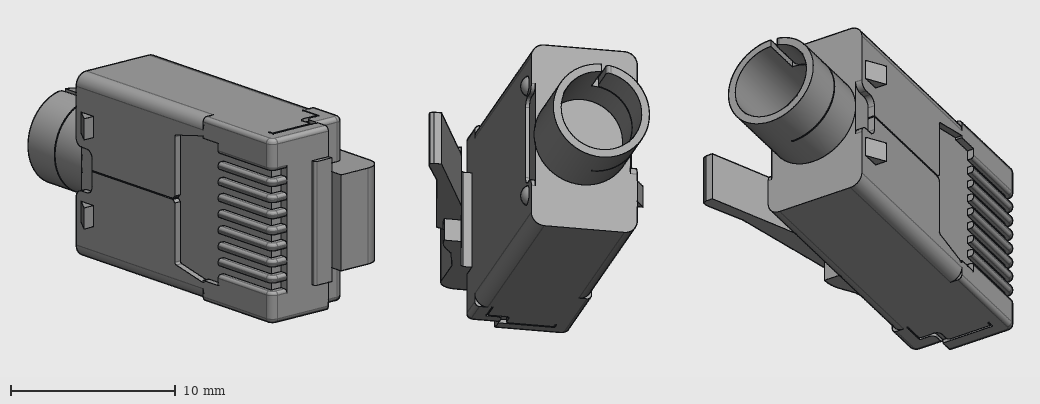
import cadquery as cq


tube_radius = 3.0
tube_wall = 0.49
bore_radius = tube_radius - tube_wall
tube_length = 5.0
flap_length = 2.46
flap_slit = 0.07
flap_gap = 0.35
flap_corner = 0.25

front_y = -3.45
back_y = 3.17
body_height = 11.68
half_height = body_height / 2
shield_start = tube_length
shield_front_end = 16.83
shield_back_end = 19.65
nose_end = 23.2
shoulder_x = 22.17
shoulder_y = 1.1
shield_radius = 0.8
nose_radius = 0.3
nose_end_radius = 0.49

recess_depth = 0.45
recess_y = front_y + recess_depth
window_start = 14.2
window_half = 4.1
window_mouth_half = 4.65
window_corner = 0.15
step_half = 4.5
notch_length = 1.49
notch_half = 1.4
notch_offset_z = -0.11
notch_radius = 0.5
seam_width = 0.07
seam_flare = 0.22
back_notch_half = 2.78
back_notch_depth = 0.25

slot_count = 8
slot_row_span = 7.15
slot_pitch = slot_row_span / (slot_count - 1)
slot_width = 0.54
slot_start = 18.22
slot_edge_radius = 0.207
contact_pocket_start = 22.65
contact_pocket_depth = 1.22

side_gap_depth = 0.25
corner_tab_y = 2.12
corner_tab_x = 21.15
tab_gap_y = 0.07
tab_gap_x = 0.15
channel_y = 0.65
channel_radius = 0.35
groove_start = 22.02
groove_bottom = -2.41
groove_foot_x = 21.73
groove_foot_width = 0.07
gap_radius = 0.17

tooth_start = 5.46
tooth_length = 1.17
tooth_height = 0.75
tooth_width = 1.35
tooth_z = 2.83
dimple_x = 6.17
dimple_z = 3.54
dimple_radius = 0.6
dimple_height = 0.37
dimple_root = 0.12
dome_radius = (dimple_radius**2 + dimple_height**2) / (2 * dimple_height)

plate_end = 23.5
plate_bottom = -0.22
plate_half = 3.93
plate_radius = 0.15

latch_half = 3.05
arm_half = 1.65
block_start = 20.45
block_end = 24.4
block_top = 4.41
block_radius = 1.2
root_relief = 0.2
latch_shoulder_x = 16.22
latch_shoulder_top = 5.9
tip_x = 6.98
tip_bottom = 8.3
tip_top = 8.98
tip_bevel_x = 0.12
tip_bevel_y = 0.22
tip_flat_end = 0.45

root_underside = (block_start - root_relief, 3.9)
lever_bend = (13.93, 5.37)
lever_top_bend = (9.88, 7.88)
lever_heel = (17.78, 6.02)
lever_foot = (18.35, 4.98)
shoulder_slope_top = (17.55, 5.49)
shoulder_round = (16.98, 5.78)


def box(x0, x1, y0, y1, z0, z1):
    return cq.Workplane("XY").box(x1 - x0, y1 - y0, z1 - z0, centered=False).translate((x0, y0, z0))


def prism_z(sketch, half_width):
    """Extrude an XY outline equally to both sides of the mid-plane."""
    return sketch.close().extrude(half_width, both=True)


def prism_from_face(sketch, y0, y1):
    """Extrude an XZ outline, drawn at y0, towards y1."""
    return sketch.close().extrude(y0 - y1).translate((0, y0, 0))


def shield_slab(x0, x1, front_radius, back_radius):
    slab = box(x0, x1, front_y, back_y, -half_height, half_height)
    return slab.edges("|X and <Y").fillet(front_radius).edges("|X and >Y").fillet(back_radius)


def nose_block(end_x, y0, y1, outer_side):
    """Nose block rounded everywhere but on its -X side and the side opposite to outer_side."""
    joint_side = "<Y" if outer_side == ">Y" else ">Y"
    block = box(shield_back_end, end_x, y0, y1, -half_height, half_height)
    block = block.edges(f"|Z and >X and {outer_side}").fillet(nose_end_radius)
    return block.faces("<Z or >Z").edges(f"not(<X or {joint_side})").fillet(nose_radius)


def nose():
    front = nose_block(nose_end, front_y, shoulder_y, "<Y")
    back = nose_block(shoulder_x, shoulder_y, back_y, ">Y")
    return front.union(back)


def front_window():
    """Window in the shield, the step beside the contacts and the seam end flare."""
    outline = (
        cq.Workplane("XZ")
        .moveTo(window_start, -window_half)
        .lineTo(shield_front_end, -window_mouth_half)
        .lineTo(shield_front_end, window_mouth_half)
        .lineTo(window_start, window_half)
    )
    window = prism_from_face(outline, front_y, recess_y).edges("|Y and <X").fillet(window_corner)
    step = box(shield_front_end, slot_start, front_y, recess_y, -step_half, step_half)
    flare = prism_from_face(
        cq.Workplane("XZ")
        .moveTo(window_start, -seam_flare)
        .lineTo(window_start, seam_flare)
        .lineTo(window_start - seam_flare, 0),
        front_y, recess_y,
    )
    seam = box(shield_start, window_start, front_y, recess_y, -seam_width / 2, seam_width / 2)
    return window.union(step).union(flare).union(seam)


def cable_notch(half_width, offset_z, y0, y1):
    """Notch in the cable end of the shield, flared at its mouth and rounded at its inner corners."""
    mouth = half_width + notch_radius
    end = shield_start + notch_length
    outline = (
        cq.Workplane("XZ")
        .moveTo(shield_start, -mouth)
        .radiusArc((shield_start + notch_radius, -half_width), notch_radius)
        .lineTo(end - notch_radius, -half_width)
        .radiusArc((end, notch_radius - half_width), -notch_radius)
        .lineTo(end, half_width - notch_radius)
        .radiusArc((end - notch_radius, half_width), -notch_radius)
        .lineTo(shield_start + notch_radius, half_width)
        .radiusArc((shield_start, mouth), notch_radius)
    )
    return prism_from_face(outline, y0, y1).translate((0, 0, offset_z))


def cut_contact_slots(solid):
    """Cut the row of slots, each opening into a deeper pocket at the nose end, and round their mouths."""
    for index in range(slot_count):
        z = index * slot_pitch - slot_row_span / 2
        low = z - slot_width / 2
        high = z + slot_width / 2
        solid = solid.cut(box(slot_start, nose_end, front_y, recess_y, low, high))
        pocket_floor = front_y + contact_pocket_depth
        solid = solid.cut(box(contact_pocket_start, nose_end, front_y, pocket_floor, low, high))
    row_half = (slot_row_span + slot_pitch) / 2
    mouth_zone = cq.selectors.BoxSelector(
        (slot_start, front_y - slot_edge_radius, -row_half),
        (nose_end, front_y + slot_edge_radius, row_half),
    )
    return solid.faces("<Y").edges("|X").edges(mouth_zone).fillet(slot_edge_radius)


def side_gap():
    """Gap on the +Z face that sets the shield edge apart from the nose."""
    gap_x = corner_tab_x - tab_gap_x
    gap_y = corner_tab_y - tab_gap_y
    outline = (
        cq.Workplane("XY")
        .moveTo(shield_back_end, corner_tab_y)
        .lineTo(corner_tab_x, corner_tab_y)
        .lineTo(corner_tab_x, shoulder_y + channel_radius)
        .radiusArc((corner_tab_x + channel_radius, shoulder_y), -channel_radius)
        .lineTo(shoulder_x, shoulder_y)
        .lineTo(shoulder_x, groove_bottom)
        .lineTo(groove_foot_x, groove_bottom)
        .lineTo(groove_foot_x, groove_bottom + groove_foot_width)
        .lineTo(groove_start, groove_bottom + groove_foot_width)
        .lineTo(groove_start, channel_y - gap_radius)
        .radiusArc((groove_start - gap_radius, channel_y), -gap_radius)
        .lineTo(gap_x + channel_radius, channel_y)
        .radiusArc((gap_x, channel_y + channel_radius), channel_radius)
        .lineTo(gap_x, gap_y - gap_radius)
        .radiusArc((gap_x - gap_radius, gap_y), -gap_radius)
        .lineTo(shield_back_end, gap_y)
        .close()
    )
    return outline.extrude(side_gap_depth).translate((0, 0, half_height - side_gap_depth))


def tube():
    solid = cq.Workplane("YZ").circle(tube_radius).extrude(tube_length)
    bore = cq.Workplane("YZ").circle(bore_radius).extrude(tube_length)
    gap_length = flap_length + flap_slit
    gap = box(0, gap_length, -flap_gap, 0, 0, tube_radius)
    slit = box(flap_length, gap_length, -tube_radius, 0, -tube_radius, tube_radius)
    corners = box(0, flap_length, -flap_gap - flap_corner, -flap_gap, 0, tube_radius)
    flap_edge = (
        box(0, flap_length, -flap_gap - 2 * flap_corner, -flap_gap, 0, tube_radius)
        .edges("|Z and >Y").fillet(flap_corner)
    )
    return solid.cut(bore).cut(gap).cut(slit).cut(corners.cut(flap_edge))


def tooth(z):
    outline = (
        cq.Workplane("XY")
        .moveTo(tooth_start, front_y)
        .lineTo(tooth_start + tooth_length, front_y - tooth_height)
        .lineTo(tooth_start + tooth_length, front_y)
    )
    return prism_z(outline, tooth_width / 2).translate((0, 0, z))


def dimple(z):
    """Shallow dome on the back face, rooted a little below it."""
    half_profile = (
        cq.Workplane("XY")
        .moveTo(0, -dimple_root)
        .lineTo(dimple_radius, -dimple_root)
        .lineTo(dimple_radius, 0)
        .radiusArc((0, dimple_height), -dome_radius)
        .close()
    )
    return half_profile.revolve(360, (0, 0, 0), (0, 1, 0)).translate((dimple_x, back_y, z))


def latch():
    """Wide root block with shoulders, and the narrower lever that rises from them."""
    underside_slope = (root_underside[1] - lever_bend[1]) / (root_underside[0] - lever_bend[0])
    shoulder_underside_y = lever_bend[1] + underside_slope * (latch_shoulder_x - lever_bend[0])
    root = (
        cq.Workplane("XY")
        .moveTo(block_start, shoulder_y)
        .lineTo(block_end, shoulder_y)
        .lineTo(block_end, block_top - block_radius)
        .radiusArc((block_end - block_radius, block_top), -block_radius)
        .lineTo(block_start, block_top)
        .lineTo(*lever_foot)
        .lineTo(*shoulder_slope_top)
        .threePointArc(shoulder_round, (latch_shoulder_x, latch_shoulder_top))
        .lineTo(latch_shoulder_x, shoulder_underside_y)
        .lineTo(*root_underside)
        .lineTo(block_start, root_underside[1] - root_relief)
    )
    lever = (
        cq.Workplane("XY")
        .moveTo(tip_x, tip_bottom)
        .lineTo(*lever_bend)
        .lineTo(*root_underside)
        .lineTo(*lever_foot)
        .lineTo(*lever_heel)
        .lineTo(*lever_top_bend)
        .lineTo(tip_x + tip_flat_end, tip_top)
        .lineTo(tip_x + tip_bevel_x, tip_top)
        .lineTo(tip_x, tip_top - tip_bevel_y)
    )
    return prism_z(root, latch_half).union(prism_z(lever, arm_half))


def end_plate():
    plate = box(shoulder_x, plate_end, plate_bottom, shoulder_y, -plate_half, plate_half)
    return plate.edges("|Z and >X and <Y").fillet(plate_radius)


body = shield_slab(shield_start, shield_front_end, shield_radius, shield_radius)
body = body.union(shield_slab(shield_front_end, shield_back_end, nose_radius, shield_radius))
body = body.union(nose())
body = body.cut(front_window())
body = body.cut(cable_notch(notch_half, notch_offset_z, front_y, recess_y))
body = body.cut(cable_notch(back_notch_half, 0, back_y, back_y - back_notch_depth))
body = cut_contact_slots(body)
gap = side_gap()
body = body.cut(gap).cut(gap.mirror("XY"))

result = body.union(tube()).union(end_plate()).union(latch())
for side in (-1, 1):
    result = result.union(tooth(side * tooth_z)).union(dimple(side * dimple_z))